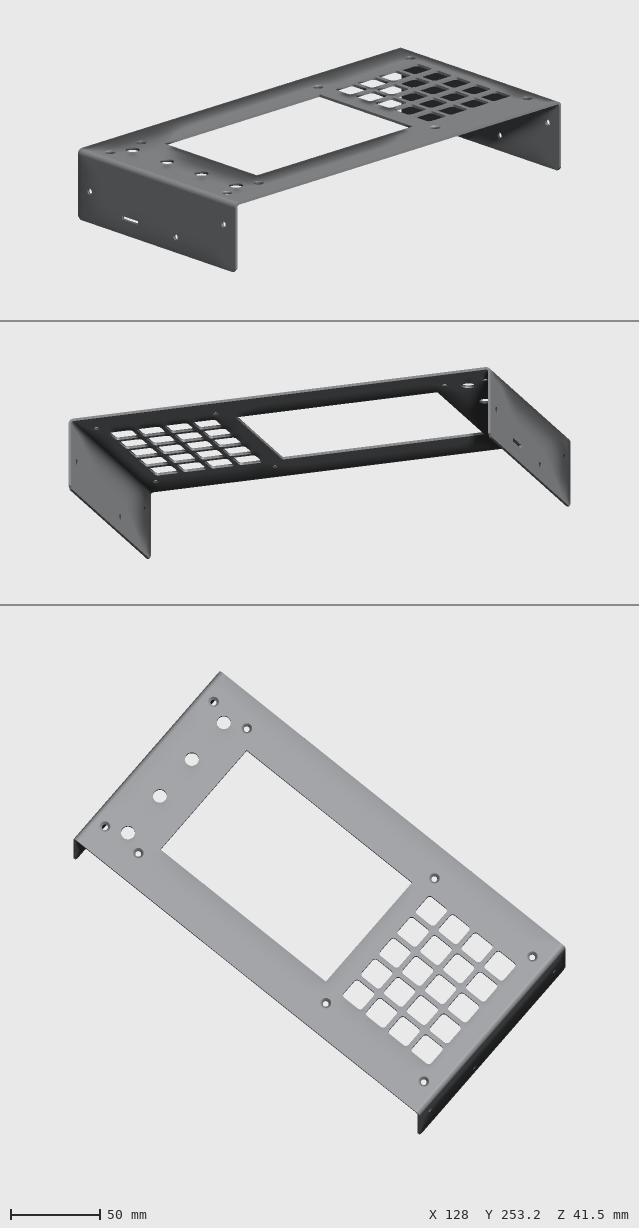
import cadquery as cq

length = 253.2
width = 128.0
height = 41.5
thickness = 1.5
inner_bend_radius = 1.5
outer_bend_radius = inner_bend_radius + thickness
flange_corner_chamfer = 2.0

window_width = 75.7
window_length = 121.0
window_center_y = -24.3

vent_columns = 5
vent_rows = 4
vent_pitch_x = 16.0
vent_pitch_y = 16.7
vent_width = 13.2
vent_length = 14.0
vent_corner_radius = 2.0
vent_center_y = 80.3

screw_x = 47.5
screw_rows_y = (116.0, 44.3, -93.0, -117.2)
screw_hole_diameter = 3.3
countersink_diameter = 6.0
countersink_angle = 90.0

button_count = 4
button_row_span = 84.0
button_pitch = button_row_span / (button_count - 1)
button_diameter = 7.8
button_y = -105.0

flange_holes = ((-54.5, 22.8), (54.5, 15.0), (15.5, 32.5))
flange_hole_diameter = 3.5

slot_width = 13.2
slot_height = 2.0
slot_x = -21.5
slot_depth_below_top = 31.6


def block(size_x, size_y, size_z):
    """Box centred in X and Y, standing on Z = 0."""
    return cq.Workplane("XY").box(size_x, size_y, size_z, centered=(True, True, False))


def folded_sheet():
    outer = block(width, length, height).edges("|X and >Z").fillet(outer_bend_radius)
    inner = block(width, length - 2 * thickness, height - thickness)
    inner = inner.edges("|X and >Z").fillet(inner_bend_radius)
    return outer.cut(inner).edges("|Y and <Z").chamfer(flange_corner_chamfer)


def panel_top(center_y=0.0):
    """Workplane on the panel's top face, facing up."""
    return cq.Workplane("XY", origin=(0, center_y, height))


def window_cutter():
    return panel_top(window_center_y).rect(window_width, window_length).extrude(-thickness)


def vent_cutter():
    return (
        panel_top(vent_center_y)
        .rarray(vent_pitch_x, vent_pitch_y, vent_columns, vent_rows)
        .rect(vent_width, vent_length)
        .extrude(-thickness)
        .edges("|Z")
        .fillet(vent_corner_radius)
    )


def button_cutter():
    return (
        panel_top(button_y)
        .rarray(button_pitch, 2.5, button_count, 1)
        .circle(button_diameter / 2)
        .extrude(-thickness)
    )


def add_screw_holes(body):
    points = [(side * screw_x, y) for y in screw_rows_y for side in (-1, 1)]
    return (
        body.faces(">Z")
        .workplane(origin=(0, 0, height))
        .pushPoints(points)
        .cskHole(screw_hole_diameter, countersink_diameter, countersink_angle)
    )


def flange_front():
    """Workplane on the front flange, X to the right, Y up from the panel top, facing -Y."""
    return cq.Workplane("XZ", origin=(0, -length / 2, height))


def flange_hole_cutter():
    points = [(x, -drop) for x, drop in flange_holes]
    return flange_front().pushPoints(points).circle(flange_hole_diameter / 2).extrude(-length)


def slot_cutter():
    return (
        flange_front()
        .center(slot_x, -slot_depth_below_top)
        .rect(slot_width, slot_height)
        .extrude(-thickness)
    )


result = folded_sheet()
for cutter in (window_cutter(), vent_cutter(), button_cutter(), flange_hole_cutter(), slot_cutter()):
    result = result.cut(cutter)
result = add_screw_holes(result)